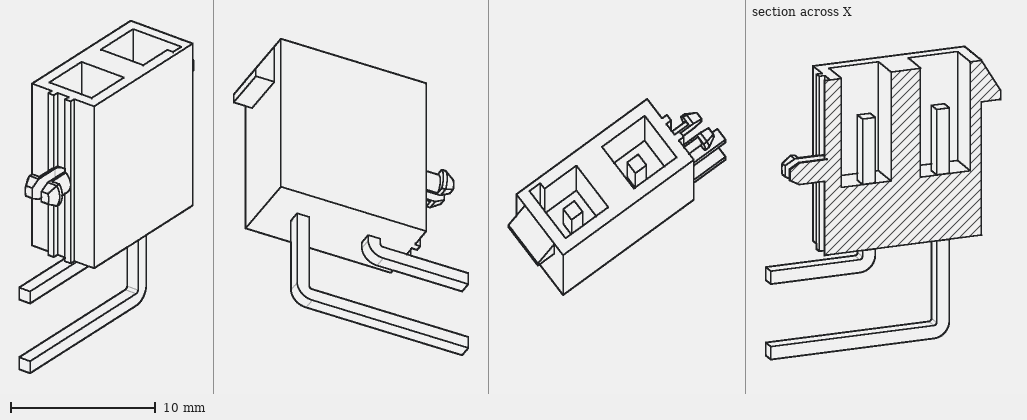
import cadquery as cq
import math


housing_width = 5.4
housing_depth = 11.28
housing_height = 12.8
cut_overlap = 0.2

wall = 0.85
cavity_side = housing_width - 2 * wall
cavity_depth = 7.96
key_width = 0.5
key_depth = 0.94

latch_width = 3.4
latch_reach = 1.43
latch_height = 3.06
latch_lip = 0.68

rib_width = 0.5
rib_reach = 0.42
rib_span = 1.95

peg_z = housing_height - 6.59
peg_diameter = rib_span
peg_thickness = 1.61
head_diameter = 2.87
head_start = 1.97
taper_start = 2.27
peg_length = 2.98
tip_inset = 0.4
slot_width = 0.8

contact_side = 0.95
contact_pitch = 5.51
front_contact_y = 2.9
tail_reach = 4.4
overall_height = 19.9
front_contact_drop = overall_height - housing_height - contact_pitch
contact_top = housing_height - 3.18
bend_inner_radius = 0.2
bend_outer_radius = bend_inner_radius + contact_side


def make_box(width, depth, height, y_start, z_start, x_center=0):
    """Box centred on x_center, growing toward +Y and +Z from its start position."""
    block = cq.Workplane("XY").box(width, depth, height, centered=(True, False, False))
    return block.translate((x_center, y_start, z_start))


def make_housing():
    body = make_box(housing_width, housing_depth, housing_height, 0, 0)
    floor = housing_height - cavity_depth
    cut_height = cavity_depth + cut_overlap
    back_cavity_y = housing_depth - wall - cavity_side
    for cavity_y in (wall, back_cavity_y):
        body = body.cut(make_box(cavity_side, cavity_side, cut_height, cavity_y, floor))

    key_y = housing_depth - wall - key_depth
    key_x = cavity_side / 2
    return body.cut(make_box(2 * key_width, key_depth, cut_height, key_y, floor, key_x))


def make_latch():
    outer_y = housing_depth + latch_reach
    bottom = housing_height - latch_height
    profile = [
        (housing_depth, housing_height),
        (outer_y, bottom + latch_lip),
        (outer_y, bottom),
        (housing_depth, bottom),
    ]
    return cq.Workplane("YZ").polyline(profile).close().extrude(latch_width / 2, both=True)


def make_rib(side):
    rib_x = side * (rib_span - rib_width) / 2
    return make_box(rib_width, rib_reach, housing_height, -rib_reach, 0, rib_x)


def flattened_circle(diameter, y_start):
    """Closed outline facing -Y: a circle with flats above and below."""
    radius = diameter / 2
    half_height = peg_thickness / 2
    flat_x = math.sqrt(radius**2 - half_height**2)
    return (
        cq.Workplane("XZ", origin=(0, -y_start, peg_z))
        .moveTo(-flat_x, half_height)
        .lineTo(flat_x, half_height)
        .threePointArc((radius, 0), (flat_x, -half_height))
        .lineTo(-flat_x, -half_height)
        .threePointArc((-radius, 0), (-flat_x, half_height))
        .close()
    )


def make_peg():
    taper_length = peg_length - taper_start
    taper_angle = math.degrees(math.atan2(tip_inset, taper_length))
    shank = flattened_circle(peg_diameter, 0).extrude(head_start)
    collar = flattened_circle(head_diameter, head_start).extrude(taper_start - head_start)
    tip = flattened_circle(head_diameter, taper_start).extrude(taper_length, taper=taper_angle)
    peg = shank.union(collar).union(tip)

    root_y = -slot_width / 2
    slot_length = peg_length + root_y + cut_overlap
    slot = make_box(slot_width, slot_length, peg_thickness, root_y - slot_length, 0)
    root = cq.Workplane("XY").center(0, root_y).circle(slot_width / 2).extrude(peg_thickness)
    return peg.cut(slot.union(root).translate((0, 0, peg_z - peg_thickness / 2)))


def make_contact(center_y, drop):
    back_y = center_y + contact_side / 2
    front_y = center_y - contact_side / 2
    inner_z = contact_side - drop
    bar = (
        cq.Workplane("YZ")
        .moveTo(back_y, contact_top)
        .lineTo(back_y, bend_outer_radius - drop)
        .radiusArc((back_y - bend_outer_radius, -drop), bend_outer_radius)
        .lineTo(-tail_reach, -drop)
        .lineTo(-tail_reach, inner_z)
        .lineTo(front_y - bend_inner_radius, inner_z)
        .radiusArc((front_y, inner_z + bend_inner_radius), -bend_inner_radius)
        .lineTo(front_y, contact_top)
        .close()
    )
    return bar.extrude(contact_side / 2, both=True)


result = make_housing().union(make_latch())
for side in (-1, 1):
    result = result.union(make_rib(side))
result = result.union(make_peg())
for row in range(2):
    offset = row * contact_pitch
    result = result.union(make_contact(front_contact_y + offset, front_contact_drop + offset))